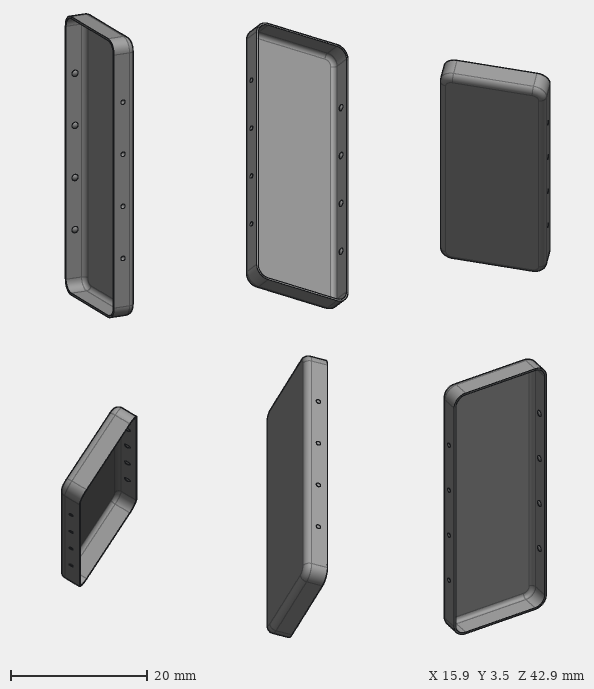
import cadquery as cq

width = 15.9
depth = 3.5
height = 42.9

corner_radius = 1.97
back_edge_radius = 1.0
wall = 0.3
inner_edge_radius = back_edge_radius - wall

dimple_radius = 0.4
dimple_depth = 0.2
dimple_spacing = 8.02
dimple_count = 4
dimple_from_rim = 1.45
bump_radius = dimple_radius + wall


def rounded_block(block_width, block_depth, block_height, corner, back_edge):
    """Block from the rim plane Y = 0 towards +Y, with rounded corners and back edge."""
    return (
        cq.Workplane("XZ")
        .rect(block_width, block_height)
        .extrude(-block_depth)
        .edges("|Y")
        .fillet(corner)
        .faces(">Y")
        .edges()
        .fillet(back_edge)
    )


def side_spheres(radius):
    """Spheres along both long walls, centred just outside the outer wall faces."""
    centre_x = width / 2 + dimple_radius - dimple_depth
    first_z = -dimple_spacing * (dimple_count - 1) / 2
    centres = [
        (side * centre_x, dimple_from_rim, first_z + index * dimple_spacing)
        for side in (-1, 1)
        for index in range(dimple_count)
    ]
    return cq.Workplane("XY").pushPoints(centres).sphere(radius, direct=(1, 0, 0))


shell = rounded_block(width, depth, height, corner_radius, back_edge_radius)
cavity = rounded_block(
    width - 2 * wall,
    depth - wall,
    height - 2 * wall,
    corner_radius - wall,
    inner_edge_radius,
)
cavity_with_bumps = cavity.cut(side_spheres(bump_radius))
tray = shell.cut(cavity_with_bumps).cut(side_spheres(dimple_radius))

result = tray.translate((0, -depth / 2, 0))